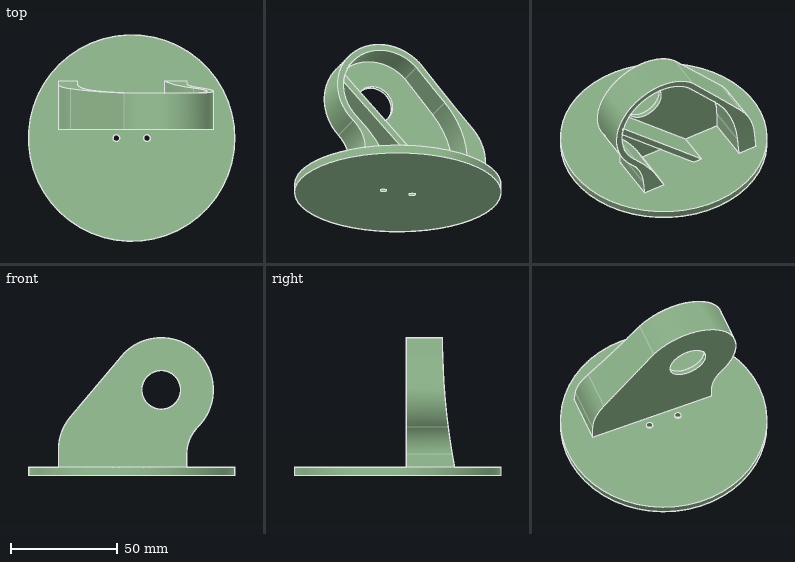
import cadquery as cq
import math

plate_diameter = 97.0
plate_thickness = 4.0
screw_hole_diameter = 3.0
screw_hole_spacing = 14.4

total_height = 64.8
head_radius = 24.5
head_x = 13.9
head_z = total_height - head_radius
left_x = -34.4
bend_radius = 24.1
bend_z = 12.1
flare_radius = 18.0
shoulder_angle = math.radians(135)
flare_angle = math.radians(45)
pin_hole_diameter = 18.0

front_y = 4.0
top_thickness = 17.1
back_radius = 325.9

left_wall = 9.1
head_rim = 3.0
pocket_bend_radius = 41.7
pocket_flare_radius = 60.1
web_thickness = 2.0

rib_thickness = 3.0
rib_offset = 10.0

extra = 29.1


def polar(center, radius, angle):
    """Point on a circle in the XZ plane."""
    return (center[0] + radius * math.cos(angle), center[1] + radius * math.sin(angle))


def lug_profile(left, bend_r, head_r, flare_r):
    """Left bend, sloping side, round head and right flare; the foot sits in the plate."""
    head = (head_x, head_z)
    bend = (left + bend_r, bend_z)
    flare = polar(head, head_r + flare_r, -flare_angle)

    shoulder = polar(head, head_r, shoulder_angle)
    dx = shoulder[0] - bend[0]
    dz = shoulder[1] - bend[1]
    tangent = math.atan2(dz, dx) + math.acos(bend_r / math.hypot(dx, dz))

    drop = max(plate_thickness - flare[1], 0)
    flare_end = math.pi - math.asin(drop / flare_r)
    flare_start = math.pi - flare_angle
    head_middle = (shoulder_angle - flare_angle) / 2
    foot = polar(flare, flare_r, flare_end)

    return (
        cq.Workplane("XZ")
        .moveTo(left, 0)
        .lineTo(left, bend_z)
        .threePointArc(polar(bend, bend_r, (math.pi + tangent) / 2), polar(bend, bend_r, tangent))
        .lineTo(*shoulder)
        .threePointArc(polar(head, head_r, head_middle), polar(head, head_r, -flare_angle))
        .threePointArc(polar(flare, flare_r, (flare_start + flare_end) / 2), foot)
        .lineTo(foot[0], 0)
        .close()
    )


def make_plate():
    return (
        cq.Workplane("XY")
        .circle(plate_diameter / 2)
        .extrude(plate_thickness)
        .faces(">Z")
        .workplane()
        .pushPoints([(-screw_hole_spacing / 2, 0), (screw_hole_spacing / 2, 0)])
        .hole(screw_hole_diameter)
    )


def make_rib():
    """Long diagonal slab, as deep as the top of the lug; the pocket outline trims its ends."""
    return (
        cq.Workplane("XY")
        .box(plate_diameter, top_thickness, rib_thickness, centered=(True, False, False))
        .translate((0, front_y, -rib_offset - rib_thickness))
        .rotate((0, 0, 0), (0, 1, 0), -math.degrees(flare_angle))
        .translate((head_x, 0, head_z))
    )


def make_lug():
    depth = top_thickness + extra
    lug = lug_profile(left_x, bend_radius, head_radius, flare_radius).extrude(-depth)
    lug = lug.translate((0, front_y, 0))

    back_cutter = (
        cq.Workplane("YZ")
        .center(front_y + top_thickness + back_radius, total_height)
        .circle(back_radius)
        .extrude(plate_diameter, both=True)
    )
    lug = lug.cut(back_cutter)

    pocket = lug_profile(
        left_x + left_wall, pocket_bend_radius, head_radius - head_rim, pocket_flare_radius
    ).extrude(-depth)
    pocket = pocket.translate((0, front_y + web_thickness, 0))
    lug = lug.cut(pocket.cut(make_rib()))

    pin_hole = (
        cq.Workplane("XZ")
        .center(head_x, head_z)
        .circle(pin_hole_diameter / 2)
        .extrude(plate_diameter, both=True)
    )
    return lug.cut(pin_hole)


result = make_plate().union(make_lug())